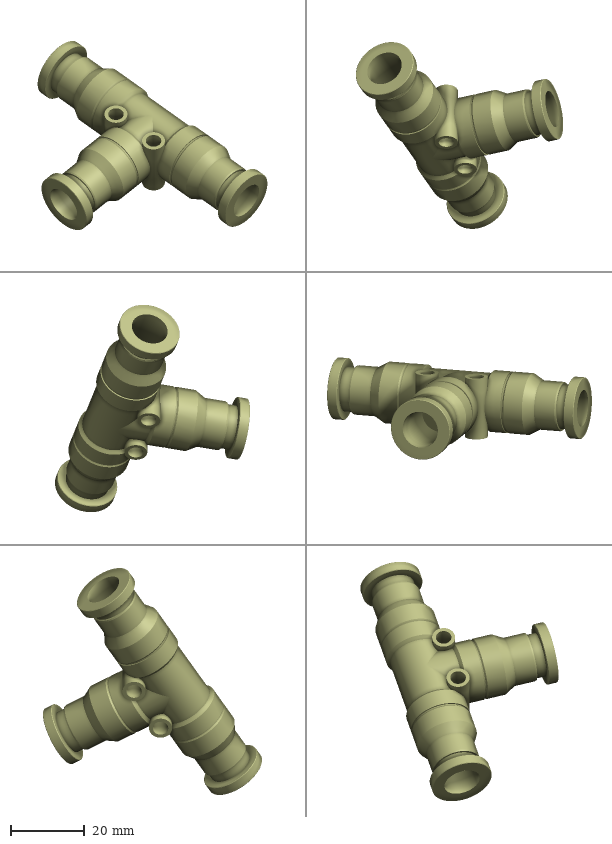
import cadquery as cq

ARM_LENGTH = 35.0
BODY_RADIUS = 16.8 / 2
HUB_RADIUS = 15.1 / 2
SLEEVE_RADIUS = 13.45 / 2
NECK_RADIUS = 12.1 / 2
BORE_RADIUS = 10.0 / 2
BORE_DEPTH = 17.5

FLANGE_WIDTH = 2.8
SLEEVE_START = 5.5
CONE_START = 11.7
CONE_END = 14.6
GROOVE_START = 19.9
GROOVE_END = 20.7
BODY_END = 25.4
HUB_START = 26.3

FLANGE_CHAMFER = 0.15
SLEEVE_CHAMFER_LENGTH = 0.4
SLEEVE_CHAMFER_HEIGHT = 0.15
GROOVE_DEPTH = 0.35
GROOVE_SLOPE_LENGTH = 0.4

POST_OFFSET = 7.0
POST_RADIUS = 6.2 / 2
POST_HOLE_RADIUS = 4.2 / 2
POST_HEIGHT = 2 * BODY_RADIUS


def revolve_arm(profile):
    """Revolve (distance from open end, radius) points into an arm along -X."""
    points = [(distance - ARM_LENGTH, radius) for distance, radius in profile]
    return cq.Workplane("XY").polyline(points).close().revolve(360, (0, 0, 0), (1, 0, 0))


def make_arm():
    """Outside of one arm, from its open end to the centre of the tee."""
    groove_radius = BODY_RADIUS - GROOVE_DEPTH
    return revolve_arm([
        (0, 0),
        (0, BODY_RADIUS - FLANGE_CHAMFER),
        (FLANGE_CHAMFER, BODY_RADIUS),
        (FLANGE_WIDTH - FLANGE_CHAMFER, BODY_RADIUS),
        (FLANGE_WIDTH, BODY_RADIUS - FLANGE_CHAMFER),
        (FLANGE_WIDTH, NECK_RADIUS),
        (SLEEVE_START, NECK_RADIUS),
        (SLEEVE_START, SLEEVE_RADIUS - SLEEVE_CHAMFER_HEIGHT),
        (SLEEVE_START + SLEEVE_CHAMFER_LENGTH, SLEEVE_RADIUS),
        (CONE_START, SLEEVE_RADIUS),
        (CONE_END, BODY_RADIUS),
        (GROOVE_START, BODY_RADIUS),
        (GROOVE_START + GROOVE_SLOPE_LENGTH, groove_radius),
        (GROOVE_END, groove_radius),
        (GROOVE_END, BODY_RADIUS),
        (BODY_END, BODY_RADIUS),
        (HUB_START, HUB_RADIUS),
        (ARM_LENGTH, HUB_RADIUS),
        (ARM_LENGTH, 0),
    ])


def make_bore():
    """Blind tube socket of one arm."""
    return revolve_arm([(0, 0), (0, BORE_RADIUS), (BORE_DEPTH, BORE_RADIUS), (BORE_DEPTH, 0)])


def post_cylinders(radius):
    """Upright cylinders at both post positions."""
    centres = [(-POST_OFFSET, -POST_OFFSET), (POST_OFFSET, -POST_OFFSET)]
    return (
        cq.Workplane("XY", origin=(0, 0, -POST_HEIGHT / 2))
        .pushPoints(centres)
        .circle(radius)
        .extrude(POST_HEIGHT)
    )


def turned(shape, angle):
    """Shape turned about the vertical axis of the tee."""
    return shape.rotate((0, 0, 0), (0, 0, 1), angle)


arm = make_arm()
bore = make_bore()
branch_angle = 90
run_angle = 180

tee = arm.union(turned(arm, run_angle)).union(turned(arm, branch_angle))
tee = tee.union(post_cylinders(POST_RADIUS))

for angle in (0, branch_angle, run_angle):
    tee = tee.cut(turned(bore, angle))

result = tee.cut(post_cylinders(POST_HOLE_RADIUS))